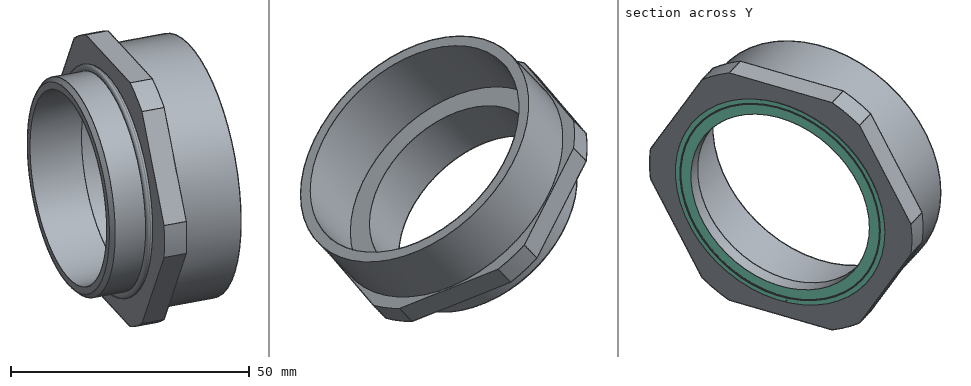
import cadquery as cq
import math

across_flats = 57.0
corner_diameter = 61.95
flange_thickness = 5.0

body_diameter = 56.25
body_length = 13.5
spigot_diameter = 46.95
spigot_length = 9.0
spigot_chamfer = 0.9
bore_diameter = 42.0
bore_length = 11.65

socket_diameter = 51.4

ring_outer_diameter = 49.9
ring_section_diameter = 1.5
ring_embed = 0.05

total_length = spigot_length + flange_thickness + body_length


def cylinder(diameter, start_y, length):
    """Solid cylinder on the Y axis, running towards +Y from start_y."""
    plane = cq.Workplane("XZ", origin=(0, start_y, 0))
    return plane.circle(diameter / 2).extrude(-length)


def make_flange():
    """Hexagon with flats at top and bottom, its corners cut by a cylinder."""
    across_corners = across_flats / math.cos(math.pi / 6)
    hexagon = cq.Workplane("XZ").polygon(6, across_corners).extrude(-flange_thickness)
    return hexagon.intersect(cylinder(corner_diameter, 0, flange_thickness))


def make_spigot():
    """Front cylinder with a chamfered free end."""
    spigot = cylinder(spigot_diameter, -spigot_length, spigot_length)
    return spigot.faces("<Y").chamfer(spigot_chamfer)


def make_ring():
    """Round-section ring pressed slightly into the front face of the flange."""
    section_radius = ring_section_diameter / 2
    center_radius = ring_outer_diameter / 2 - section_radius
    center_y = ring_embed - section_radius
    section = cq.Workplane("XY").moveTo(center_radius, center_y).circle(section_radius)
    return section.revolve(360, (0, 0), (0, 1))


body = cylinder(body_diameter, flange_thickness, body_length)
bore = cylinder(bore_diameter, -spigot_length, bore_length)
socket_start = bore_length - spigot_length
socket = cylinder(socket_diameter, socket_start, total_length - bore_length)

outside = make_flange().union(body).union(make_spigot()).union(make_ring())
result = outside.cut(bore).cut(socket)